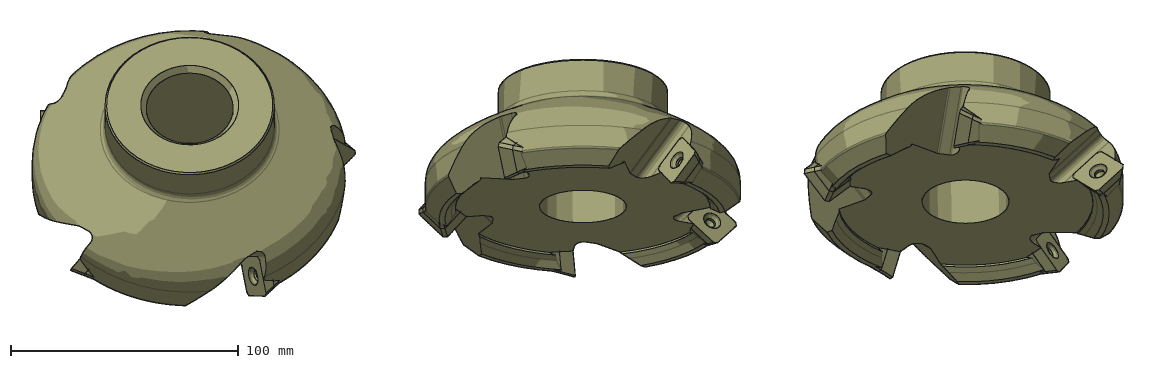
import cadquery as cq
import math


top_z = 63.0
bottom_z = 2.1
body_radius = 69.2
bottom_radius = 63.1
rim_top_z = 18.5
rim_bottom_z = 8.1
rim_fillet = 1.3
dome_points = [(64.6, 28.5), (53.4, 36.7)]
dome_top_z = 44.4
dome_slope = math.radians(27.5)
neck_radius = 74.4 / 2
neck_fillet = 3.9
neck_edge_chamfer = 0.7

bore_radius = 38.1 / 2
bore_chamfer = 2.4
recess_mouth_radius = 60.5
recess_step_radius = 57.8
recess_step_z = 5.1
recess_roof_radius = 56.0
recess_wall_z = 7.0
recess_roof_z = 8.0

insert_count = 5
insert_angle_step = 360 / insert_count
insert_side = 17.8
insert_corner_chamfer = 1.4
insert_thickness = 5.7
pedestal_depth = 10.7
insert_relief = 20.0
insert_rake = 20.0
insert_center = (-16.3, -59.8, 11.3)

countersink_diameter = 8.1
head_diameter = 7.1
head_depth = 0.4
dish_floor_diameter = 5.7
dish_depth = 1.1
socket_diameter = 4.5
socket_rim_depth = 1.7
socket_wall_depth = 2.9
socket_tip_depth = 4.5

flute_fillet = 3.1
flute_bevel_foot_y = 13.4
flute_bevel_top_y = 10.1
flute_bevel_top_z = 9.1
flute_floor_angle = 53.0
flute_reach = 85.6


def face_plane():
    """Frame on the insert face: X along the cutting edge, Y up the face, Z out of the face."""
    rake = math.radians(insert_rake)
    edge_direction = (0, -1, 1)
    half_sine = math.sin(rake) / math.sqrt(2)
    face_normal = (-math.cos(rake), half_sine, half_sine)
    return cq.Plane(origin=insert_center, xDir=edge_direction, normal=face_normal)


def make_blank():
    """Revolved outer shape of the body."""
    sine = math.sin(dome_slope)
    cosine = math.cos(dome_slope)

    fillet_center_r = neck_radius + neck_fillet
    fillet_center_z = dome_top_z + neck_fillet * cosine
    dome_top_r = fillet_center_r - neck_fillet * sine
    half_turn = (math.pi / 2 - dome_slope) / 2
    fillet_mid_r = fillet_center_r - neck_fillet * math.cos(half_turn)
    fillet_mid_z = fillet_center_z - neck_fillet * math.sin(half_turn)

    profile = (
        cq.Workplane("XZ")
        .moveTo(0, bottom_z)
        .lineTo(bottom_radius, bottom_z)
        .lineTo(body_radius, rim_bottom_z)
        .lineTo(body_radius, rim_top_z)
        .spline(
            [*dome_points, (dome_top_r, dome_top_z)],
            tangents=[(0, 1), (-cosine, sine)],
            includeCurrent=True,
        )
        .threePointArc((fillet_mid_r, fillet_mid_z), (neck_radius, fillet_center_z))
        .lineTo(neck_radius, top_z)
        .lineTo(0, top_z)
        .close()
    )
    blank = profile.revolve(360, (0, 0, 0), (0, 1, 0))
    blank = blank.faces(">Z").edges().chamfer(neck_edge_chamfer)
    rim_corner = cq.selectors.NearestToPointSelector((0, 0, rim_bottom_z))
    return blank.edges("%CIRCLE").edges(rim_corner).fillet(rim_fillet)


def make_bore():
    """Through bore with a chamfered upper mouth, and the wide underside recess."""
    bore = cq.Workplane("XY").circle(bore_radius).extrude(top_z)
    mouth = (
        cq.Workplane("XY").workplane(offset=top_z)
        .circle(bore_radius + bore_chamfer)
        .workplane(offset=-bore_chamfer)
        .circle(bore_radius)
        .loft()
    )
    recess = (
        cq.Workplane("XZ")
        .polyline([
            (0, bottom_z),
            (recess_mouth_radius, bottom_z),
            (recess_step_radius, recess_step_z),
            (recess_roof_radius, recess_wall_z),
            (recess_roof_radius, recess_roof_z),
            (0, recess_roof_z),
        ])
        .close()
        .revolve(360, (0, 0, 0), (0, 1, 0))
    )
    return bore.union(mouth).union(recess)


def on_face(shape):
    """Move a shape drawn in the insert face frame to its place on the cutter."""
    return shape.newObject([shape.val().moved(face_plane().location)])


def make_flute():
    """Prism of removed material in front of an insert, with rounded inner corners."""
    lean = math.radians(flute_floor_angle)
    floor_end_y = flute_bevel_top_y - flute_reach * math.cos(lean)
    floor_end_z = flute_bevel_top_z + flute_reach * math.sin(lean)
    section = cq.Workplane("YZ").polyline([
        (-flute_reach, 0),
        (flute_bevel_foot_y, 0),
        (flute_bevel_top_y, flute_bevel_top_z),
        (floor_end_y, floor_end_z),
        (-flute_reach, floor_end_z),
    ])
    prism = section.close().extrude(flute_reach, both=True)
    return on_face(prism.edges("|X").fillet(flute_fillet))


def square_outline(half):
    """Corner points of a square with cut corners, centred on the origin."""
    cut = half - insert_corner_chamfer
    return [
        (half, cut), (cut, half), (-cut, half), (-half, cut),
        (-half, -cut), (-cut, -half), (cut, -half), (half, -cut),
    ]


def make_tapered_square(depth):
    """Block behind the insert face, its flanks tapering inward over the given depth."""
    front_half = insert_side / 2
    back_half = front_half - depth * math.tan(math.radians(insert_relief))
    block = (
        cq.Workplane("XY")
        .polyline(square_outline(front_half)).close()
        .workplane(offset=-depth)
        .polyline(square_outline(back_half)).close()
        .loft(ruled=True)
    )
    return on_face(block)


def make_screw_recess():
    """Countersunk dish of the screw head and the pointed round socket below it."""
    recess = (
        cq.Workplane("XZ")
        .polyline([
            (0, 0),
            (countersink_diameter / 2, 0),
            (head_diameter / 2, -head_depth),
            (dish_floor_diameter / 2, -dish_depth),
            (socket_diameter / 2, -socket_rim_depth),
            (socket_diameter / 2, -socket_wall_depth),
            (0, -socket_tip_depth),
        ])
        .close()
        .revolve(360, (0, 0, 0), (0, 1, 0))
    )
    return on_face(recess)


def around(shape, index):
    """Copy of a shape turned to one of the insert stations."""
    return shape.rotate((0, 0, 0), (0, 0, 1), index * insert_angle_step)


insert_blank = make_tapered_square(insert_thickness)
insert = insert_blank.cut(make_screw_recess())
pedestal = make_tapered_square(pedestal_depth)
flute = make_flute()

body = make_blank().cut(make_bore())
inserts = []
for station in range(insert_count):
    body = body.cut(around(flute, station))
    body = body.union(around(pedestal, station))
    body = body.cut(around(insert_blank, station))
    inserts.append(around(insert, station))

result = cq.Compound.makeCompound([body.val(), *[piece.val() for piece in inserts]])